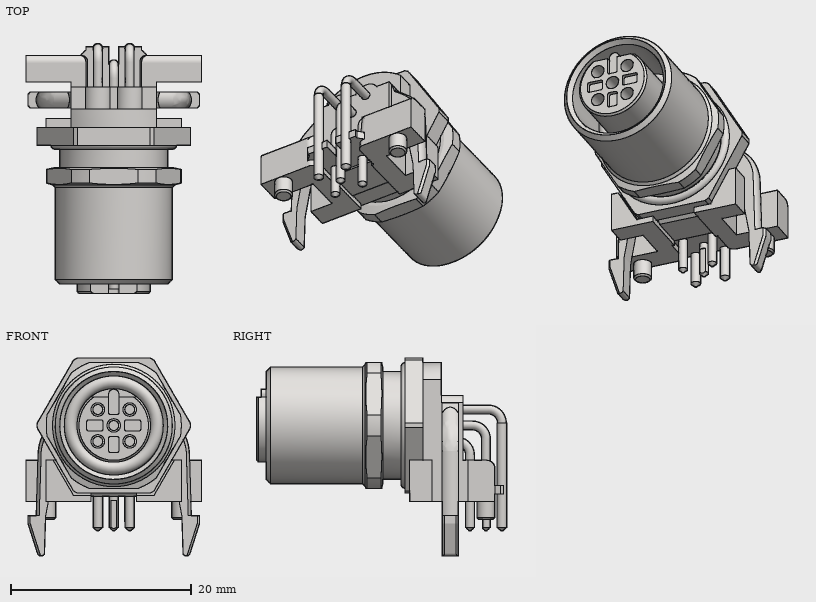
import cadquery as cq
import math


OVERALL_HEIGHT = 21.99

FLANGE_ACROSS_FLATS = 15.0
FLANGE_CORNER_DIA = 17.04
FLANGE_BACK = 2.0

SLEEVE_DIA = 13.0
SLEEVE_BORE_DIA = 11.0
SLEEVE_CHAMFER = 0.5
SLEEVE_RIM = 0.02
SLEEVE_FRONT = -15.4
BORE_DEPTH = 8.0
NECK_DIA = 12.0
NUT_ACROSS_FLATS = 14.0
NUT_CORNER_DIA = 15.0
NUT_BACK = -2.45
NUT_FRONT = -4.4
NUT_BEVEL = 0.22
NUT_FRONT_FACE_DIA = 13.6
NUT_COLLAR = 0.3
SEAL_WIRE_DIA = 1.0
SEAL_CENTER_Y = 0.06

INSERT_DIA = 8.16
INSERT_FRONT = -16.45
INSERT_CHAMFER = 0.22
INSERT_EMBEDDING = 1.0
INSERT_FLAT_Z = 3.16
KEY_WIDTH = 1.14
KEY_TOP_Z = 4.03
RECESS_DEPTH = 0.5
RECESS_INNER = 1.2
RECESS_OUTER = 3.0
SIDE_RECESS_WIDTH = 1.24
RECESS_CORNER = 0.22
CONTACT_PITCH = 3.54
CONTACT_ENTRY_DIA = 1.5
CONTACT_ENTRY_DEPTH = 3.0
CONTACT_DIA = 1.1
CONTACT_DEPTH = 5.0

DISK_DIA = 14.0
DISK_BACK = 4.04
HOUSING_HALF_WIDTH = 4.77
SHOULDER_BACK = 6.48
SHOULDER_Z = 2.53
BARREL_DIA = 3.14
SEAT_Z = -8.44
GAP_HALF_WIDTH = 2.5
GAP_TOP_Z = -7.87

BLOCK_TOP_Z = -3.86
FRONT_BLOCK_HALF_WIDTH = 7.52
FRONT_BLOCK_FRONT = 0.53
FRONT_BLOCK_BACK = 3.0
FLANGE_CLEARANCE = 0.25
REAR_BLOCK_HALF_WIDTH = 9.75
REAR_BLOCK_FRONT = 7.03
REAR_BLOCK_BACK = 10.0
REAR_BLOCK_INNER_TOP = 3.1
REAR_BLOCK_INNER_BOTTOM = 2.75
REAR_BLOCK_TOP_ROUND = 0.9
REAR_BLOCK_INNER_ROUND = 0.75
PEG_DIA = 2.0
PEG_X = 7.42
PEG_SETBACK = 0.02
PEG_BOTTOM_Z = -10.42
PEG_CHAMFER = 0.2

GUIDE_TOP_Z = -6.66
GUIDE_BOTTOM_Z = -7.62
GUIDE_BACK = 10.95
GUIDE_HALF_WIDTH = 3.1
GUIDE_FLARE_HALF_WIDTH = 3.7
GUIDE_FLARE_START = 10.6
GUIDE_SLOT_WIDTH = 1.1

PIN_DIA = 1.0
PIN_BEND = 1.5
UPPER_PIN_DIA = 1.1
UPPER_PIN_Y = 10.77
PIN_SHOULDER_Z = -11.3
PIN_TIP_Z = -11.7
PIN_TIP_DIA = 0.2
CENTER_PIN_FLAT_TOP_Z = -8.35
CENTER_PIN_FLAT_DEPTH = 0.12

ARM_FRONT = 4.14
ARM_BACK = 5.94
ARM_CROWN = 0.35
ARM_EMBEDDING = 0.4
ARM_BAND = 1.0
BARB_X = 9.52
BARB_TOP_Z = -10.0
BARB_BOTTOM_Z = -10.92
FOOT_CHAMFER = 0.25
FOOT_TIP_OUTER_X = 8.46
FOOT_TIP_INNER_X = 7.68
FOOT_TIP_SIDE_Z = -14.25
ARM_TIP_Z = FLANGE_ACROSS_FLATS / 2 - OVERALL_HEIGHT
ARM_ROOT = (HOUSING_HALF_WIDTH - ARM_EMBEDDING, 2.5)
ELBOW_START = (6.6, 0.6)
ELBOW_END = (8.4, -2.85)
LEG_END = (8.62, BARB_TOP_Z)
LEG_INNER_TOP = (6.25, ELBOW_END[1])
FOOT_INNER_TOP = (7.55, BARB_TOP_Z)
WEB_ROOT_Z = -1.5
FLARE_TOP_Z = 2.47
FLARE_END = (5.15, 1.35)


def cylinder(dia, y_from, y_to, x=0.0, z=0.0):
    """Cylinder parallel to Y, between two Y positions."""
    axis = cq.Vector(0, 1, 0)
    return cq.Workplane(cq.Solid.makeCylinder(dia / 2, y_to - y_from, cq.Vector(x, y_from, z), axis))


def box(x_from, x_to, y_from, y_to, z_from, z_to):
    """Axis-aligned box between two corners."""
    return (
        cq.Workplane("XY", origin=(x_from, y_from, z_from))
        .box(x_to - x_from, y_to - y_from, z_to - z_from, centered=False)
    )


def hexagon(across_flats, y_from, y_to):
    """Hexagonal prism along Y with a flat on top."""
    corner_dia = across_flats / math.cos(math.radians(30))
    return cq.Workplane("XZ", origin=(0, y_to, 0)).polygon(6, corner_dia).extrude(y_to - y_from)


def turned(points):
    """Solid turned about the Y axis from (radius, y) points."""
    return cq.Workplane("XY").polyline(points).close().revolve(360, (0, 0, 0), (0, 1, 0))


def torus(center_radius, wire_radius, y):
    """Ring of round section around the Y axis."""
    return cq.Workplane(
        cq.Solid.makeTorus(center_radius, wire_radius, cq.Vector(0, y, 0), cq.Vector(0, 1, 0))
    )


def both_sides(right_half):
    """Join a shape at +X with its mirror image at -X."""
    return right_half.union(right_half.mirror("YZ"))


def make_flange():
    flange = hexagon(FLANGE_ACROSS_FLATS, 0, FLANGE_BACK)
    flange = flange.intersect(cylinder(FLANGE_CORNER_DIA, 0, FLANGE_BACK))
    seal_radius = (NECK_DIA + SEAL_WIRE_DIA) / 2
    return flange.union(torus(seal_radius, SEAL_WIRE_DIA / 2, SEAL_CENTER_Y))


def make_nut():
    half_corner = NUT_CORNER_DIA / 2
    envelope = turned([
        (0, NUT_BACK),
        (SLEEVE_DIA / 2, NUT_BACK),
        (half_corner, NUT_BACK - NUT_BEVEL),
        (half_corner, NUT_FRONT + NUT_BEVEL),
        (NUT_FRONT_FACE_DIA / 2, NUT_FRONT),
        (0, NUT_FRONT),
    ])
    collar = turned([
        (0, NUT_FRONT),
        (NUT_FRONT_FACE_DIA / 2, NUT_FRONT),
        (SLEEVE_DIA / 2, NUT_FRONT - NUT_COLLAR),
        (0, NUT_FRONT - NUT_COLLAR),
    ])
    return hexagon(NUT_ACROSS_FLATS, NUT_FRONT, NUT_BACK).intersect(envelope).union(collar)


def make_sleeve():
    """Neck and sleeve; a rounded sealing ring fills the bottom of the bore."""
    sleeve = cylinder(SLEEVE_DIA, SLEEVE_FRONT, NUT_FRONT).faces("<Y").chamfer(SLEEVE_CHAMFER)
    sleeve = sleeve.union(cylinder(NECK_DIA, NUT_FRONT, FLANGE_BACK)).union(make_nut())
    bore_bottom = SLEEVE_FRONT + BORE_DEPTH
    bore_radius = SLEEVE_BORE_DIA / 2
    mouth_radius = SLEEVE_DIA / 2 - SLEEVE_CHAMFER - SLEEVE_RIM
    bore = turned([
        (0, bore_bottom),
        (bore_radius, bore_bottom),
        (bore_radius, SLEEVE_FRONT + SLEEVE_CHAMFER),
        (mouth_radius, SLEEVE_FRONT),
        (0, SLEEVE_FRONT),
    ])
    ring_wire = (SLEEVE_BORE_DIA - INSERT_DIA) / 4
    ring = torus(INSERT_DIA / 2 + ring_wire, ring_wire, bore_bottom)
    return sleeve.cut(bore).union(ring)


def recess(x_center, z_center, width, height):
    """Shallow round-cornered pocket in the insert face."""
    pocket = box(
        x_center - width / 2, x_center + width / 2,
        INSERT_FRONT, INSERT_FRONT + RECESS_DEPTH,
        z_center - height / 2, z_center + height / 2,
    )
    return pocket.edges("|Y").fillet(RECESS_CORNER)


def make_insert():
    back = SLEEVE_FRONT + BORE_DEPTH + INSERT_EMBEDDING
    insert = cylinder(INSERT_DIA, INSERT_FRONT, back).faces("<Y").chamfer(INSERT_CHAMFER)
    radius = INSERT_DIA / 2
    insert = insert.cut(box(-radius, radius, INSERT_FRONT, back, INSERT_FLAT_Z, radius))

    key_front = INSERT_FRONT + RECESS_DEPTH
    keyway_height = radius - RECESS_INNER
    insert = insert.cut(recess(0, RECESS_INNER + keyway_height / 2, KEY_WIDTH, keyway_height))
    key_center_z = KEY_TOP_Z - KEY_WIDTH / 2
    key = box(-KEY_WIDTH / 2, KEY_WIDTH / 2, key_front, back, RECESS_INNER, key_center_z)
    insert = insert.union(key).union(cylinder(KEY_WIDTH, key_front, back, z=key_center_z))

    length = RECESS_OUTER - RECESS_INNER
    middle = (RECESS_OUTER + RECESS_INNER) / 2
    insert = insert.cut(recess(0, -middle, KEY_WIDTH, length))
    for side in (-1, 1):
        insert = insert.cut(recess(side * middle, 0, length, SIDE_RECESS_WIDTH))

    offset = CONTACT_PITCH / 2
    entry_bottom = INSERT_FRONT + CONTACT_ENTRY_DEPTH
    contact_bottom = INSERT_FRONT + CONTACT_DEPTH
    for x, z in [(0, 0), (offset, offset), (-offset, offset), (offset, -offset), (-offset, -offset)]:
        insert = insert.cut(cylinder(CONTACT_ENTRY_DIA, INSERT_FRONT, entry_bottom, x, z))
        insert = insert.cut(cylinder(CONTACT_DIA, INSERT_FRONT, contact_bottom, x, z))
    return insert


def make_housing():
    disk_radius = DISK_DIA / 2
    trim = box(-HOUSING_HALF_WIDTH, HOUSING_HALF_WIDTH, FLANGE_BACK, DISK_BACK, SEAT_Z, disk_radius)
    housing = cylinder(DISK_DIA, FLANGE_BACK, DISK_BACK).intersect(trim)
    housing = housing.union(
        box(-HOUSING_HALF_WIDTH, HOUSING_HALF_WIDTH, FLANGE_BACK, DISK_BACK, SEAT_Z, 0)
    )
    housing = housing.union(
        box(-HOUSING_HALF_WIDTH, HOUSING_HALF_WIDTH, DISK_BACK, SHOULDER_BACK, SEAT_Z, SHOULDER_Z)
    )
    offset = CONTACT_PITCH / 2
    for x in (-offset, offset):
        housing = housing.union(cylinder(BARREL_DIA, DISK_BACK, SHOULDER_BACK, x, offset))

    bevel = -FLANGE_ACROSS_FLATS / 2 - GAP_TOP_Z
    gap = (
        cq.Workplane("YZ", origin=(-GAP_HALF_WIDTH, 0, 0))
        .polyline([
            (FLANGE_BACK, SEAT_Z),
            (FLANGE_BACK, -FLANGE_ACROSS_FLATS / 2),
            (FLANGE_BACK + bevel, GAP_TOP_Z),
            (SHOULDER_BACK, GAP_TOP_Z),
            (SHOULDER_BACK, SEAT_Z),
        ])
        .close()
        .extrude(2 * GAP_HALF_WIDTH)
    )
    return housing.cut(gap)


def make_front_blocks():
    """Blocks beside the flange, pocketed to clear it."""
    block = box(
        GAP_HALF_WIDTH, FRONT_BLOCK_HALF_WIDTH, FRONT_BLOCK_FRONT, FRONT_BLOCK_BACK, SEAT_Z, BLOCK_TOP_Z
    )
    pocket = hexagon(FLANGE_ACROSS_FLATS + 2 * FLANGE_CLEARANCE, FRONT_BLOCK_FRONT, FLANGE_BACK)
    return both_sides(block.cut(pocket))


def make_rear_blocks():
    """Blocks with a sloped inner wall, each standing on a locating peg."""
    block = (
        cq.Workplane("XZ", origin=(0, REAR_BLOCK_BACK, 0))
        .polyline([
            (REAR_BLOCK_INNER_BOTTOM, SEAT_Z),
            (REAR_BLOCK_INNER_TOP, BLOCK_TOP_Z),
            (REAR_BLOCK_HALF_WIDTH, BLOCK_TOP_Z),
            (REAR_BLOCK_HALF_WIDTH, SEAT_Z),
        ])
        .close()
        .extrude(REAR_BLOCK_BACK - SHOULDER_BACK)
    )
    block = block.cut(box(
        HOUSING_HALF_WIDTH, REAR_BLOCK_HALF_WIDTH, SHOULDER_BACK, REAR_BLOCK_FRONT, SEAT_Z, BLOCK_TOP_Z
    ))
    middle_z = (SEAT_Z + BLOCK_TOP_Z) / 2
    inner_edge = cq.selectors.NearestToPointSelector((REAR_BLOCK_INNER_TOP, REAR_BLOCK_BACK, middle_z))
    block = block.edges(inner_edge).fillet(REAR_BLOCK_INNER_ROUND)
    envelope = box(
        0, REAR_BLOCK_HALF_WIDTH, SHOULDER_BACK, REAR_BLOCK_BACK, SEAT_Z, BLOCK_TOP_Z
    ).faces(">Y").edges(">Z").fillet(REAR_BLOCK_TOP_ROUND)
    block = block.intersect(envelope)
    peg_y = REAR_BLOCK_BACK - PEG_DIA / 2 - PEG_SETBACK
    peg = (
        cq.Workplane("XY", origin=(PEG_X, peg_y, PEG_BOTTOM_Z))
        .circle(PEG_DIA / 2)
        .extrude(SEAT_Z - PEG_BOTTOM_Z)
        .faces("<Z")
        .chamfer(PEG_CHAMFER)
    )
    return both_sides(block.union(peg))


def make_pin_guide():
    """Plate between the rear blocks, split by a slot that ends at the center pin."""
    plate = (
        cq.Workplane("XY", origin=(0, 0, GUIDE_BOTTOM_Z))
        .polyline([
            (-GUIDE_FLARE_HALF_WIDTH, SHOULDER_BACK),
            (GUIDE_FLARE_HALF_WIDTH, SHOULDER_BACK),
            (GUIDE_FLARE_HALF_WIDTH, REAR_BLOCK_BACK),
            (GUIDE_HALF_WIDTH, GUIDE_FLARE_START),
            (GUIDE_HALF_WIDTH, GUIDE_BACK),
            (-GUIDE_HALF_WIDTH, GUIDE_BACK),
            (-GUIDE_HALF_WIDTH, GUIDE_FLARE_START),
            (-GUIDE_FLARE_HALF_WIDTH, REAR_BLOCK_BACK),
        ])
        .close()
        .extrude(GUIDE_TOP_Z - GUIDE_BOTTOM_Z)
    )
    center_pin_y = UPPER_PIN_Y - CONTACT_PITCH / 2
    half_slot = GUIDE_SLOT_WIDTH / 2
    return plate.cut(box(-half_slot, half_slot, center_pin_y, GUIDE_BACK, GUIDE_BOTTOM_Z, GUIDE_TOP_Z))


def make_pin(x, y, z, leg_dia):
    """Pin leaving the housing at height z, bent down at depth y and pointed at its end."""
    bend_start_y = y - PIN_BEND
    bend_end_z = z - PIN_BEND
    middle_shift = PIN_BEND * (1 - math.sqrt(0.5))
    path = (
        cq.Workplane("YZ", origin=(x, 0, 0))
        .moveTo(DISK_BACK, z)
        .lineTo(bend_start_y, z)
        .threePointArc((y - middle_shift, z - middle_shift), (y, bend_end_z))
    )
    pin = cq.Workplane("XZ", origin=(x, DISK_BACK, z)).circle(PIN_DIA / 2).sweep(path)
    half_tip = PIN_TIP_DIA / 2
    leg = (
        cq.Workplane("XZ")
        .polyline([
            (0, bend_end_z),
            (leg_dia / 2, bend_end_z),
            (leg_dia / 2, PIN_SHOULDER_Z),
            (half_tip, PIN_TIP_Z),
            (0, PIN_TIP_Z),
        ])
        .close()
        .revolve(360, (0, 0, 0), (0, 1, 0))
        .translate((x, y, 0))
    )
    return pin.union(leg)


def make_pins():
    step = CONTACT_PITCH / 2
    center_y = UPPER_PIN_Y - step
    lower_y = center_y - step
    pins = make_pin(0, center_y, 0, PIN_DIA)
    pin_front = center_y - PIN_DIA / 2
    pins = pins.cut(box(
        -PIN_DIA / 2, PIN_DIA / 2,
        pin_front, pin_front + CENTER_PIN_FLAT_DEPTH,
        PIN_TIP_Z, CENTER_PIN_FLAT_TOP_Z,
    ))
    for x in (-step, step):
        pins = pins.union(make_pin(x, UPPER_PIN_Y, step, UPPER_PIN_DIA))
        pins = pins.union(make_pin(x, lower_y, -step, PIN_DIA))
    return pins


def arm_outline():
    """Workplane at the back of the arm, for outlines extruded forward."""
    return cq.Workplane("XZ", origin=(0, ARM_BACK, 0))


def make_arm_band():
    """Outer band of an arm: a crowned strip following the elbow and the leg."""
    half_width = (ARM_BACK - ARM_FRONT) / 2
    arm_y = (ARM_BACK + ARM_FRONT) / 2
    path = (
        cq.Workplane("XZ", origin=(0, arm_y, 0))
        .moveTo(*ARM_ROOT)
        .lineTo(*ELBOW_START)
        .tangentArcPoint(ELBOW_END, relative=False)
        .lineTo(*LEG_END)
    )
    root_direction = (ELBOW_START[0] - ARM_ROOT[0], 0, ELBOW_START[1] - ARM_ROOT[1])
    root_plane = cq.Plane(origin=(ARM_ROOT[0], arm_y, ARM_ROOT[1]), xDir=(0, 1, 0), normal=root_direction)
    return (
        cq.Workplane(root_plane)
        .moveTo(-half_width, -ARM_CROWN)
        .threePointArc((0, 0), (half_width, -ARM_CROWN))
        .lineTo(half_width, -ARM_BAND)
        .lineTo(-half_width, -ARM_BAND)
        .close()
        .sweep(path, transition="right")
    )


def make_arm_web():
    """Inner part of an arm, flared at the housing and tapering down to the foot."""
    return (
        arm_outline()
        .moveTo(ARM_ROOT[0], FLARE_TOP_Z)
        .lineTo(HOUSING_HALF_WIDTH, FLARE_TOP_Z)
        .lineTo(*FLARE_END)
        .lineTo(ELBOW_START[0] - ARM_BAND / 2, ELBOW_START[1] - ARM_BAND / 2)
        .lineTo(ELBOW_END[0] - ARM_BAND / 2, ELBOW_END[1])
        .lineTo(LEG_END[0] - ARM_BAND / 2, BARB_TOP_Z)
        .lineTo(*FOOT_INNER_TOP)
        .lineTo(*LEG_INNER_TOP)
        .lineTo(ARM_ROOT[0], WEB_ROOT_Z)
        .close()
        .extrude(ARM_BACK - ARM_FRONT)
    )


def make_arm_foot():
    """Barbed foot with bevelled outer edges."""
    foot = (
        arm_outline()
        .moveTo(*FOOT_INNER_TOP)
        .lineTo(BARB_X, BARB_TOP_Z)
        .lineTo(BARB_X, BARB_BOTTOM_Z)
        .lineTo(FOOT_TIP_OUTER_X, FOOT_TIP_SIDE_Z)
        .threePointArc(
            ((FOOT_TIP_OUTER_X + FOOT_TIP_INNER_X) / 2, ARM_TIP_Z),
            (FOOT_TIP_INNER_X, FOOT_TIP_SIDE_Z),
        )
        .close()
        .extrude(ARM_BACK - ARM_FRONT)
    )
    outer_faces = foot.faces(cq.selectors.BoxSelector(
        (FOOT_TIP_OUTER_X, ARM_FRONT, BARB_TOP_Z),
        (BARB_X + FOOT_CHAMFER, ARM_BACK, FOOT_TIP_SIDE_Z),
    ))
    return outer_faces.edges("not |Y").chamfer(FOOT_CHAMFER)


def make_arms():
    """Snap-in arms: a curved elbow, a tapering leg and a barbed foot."""
    return both_sides(make_arm_band().union(make_arm_web()).union(make_arm_foot()))


result = (
    make_sleeve()
    .union(make_flange())
    .union(make_insert())
    .union(make_housing())
    .union(make_front_blocks())
    .union(make_rear_blocks())
    .union(make_pin_guide())
    .union(make_pins())
    .union(make_arms())
)